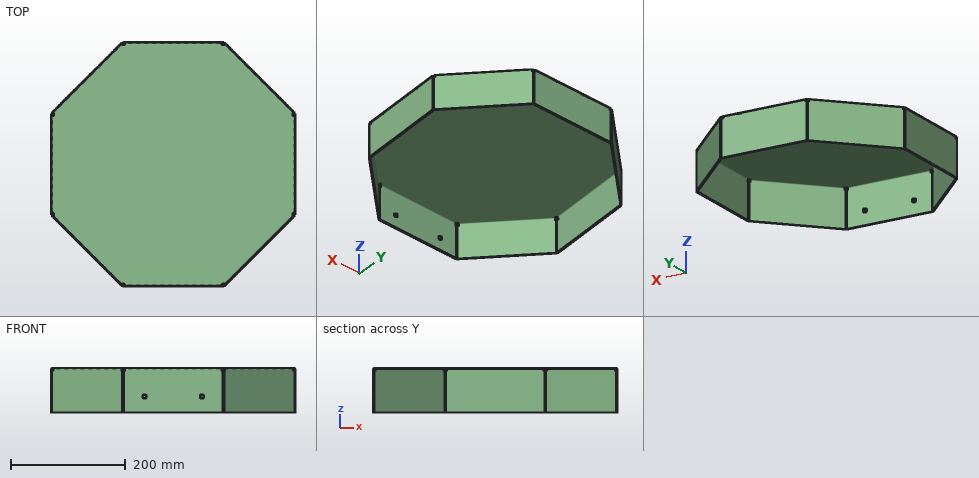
import cadquery as cq
import math

width_across_flats = 426.0
height = 78.0
sheet = 2.0
outer_bend_radius = 4.0
side_count = 8

flange_setback = 1.5
relief_radius = 3.0
relief_inset = 1.5
relief_depth = 4.3

hole_diameter = 7.0
hole_spacing = 100.0
hole_depth_below_top = 50.0

half_width = width_across_flats / 2
half_corner_angle = math.pi / side_count
half_side = half_width * math.tan(half_corner_angle)
inner_bend_radius = outer_bend_radius - sheet
bend_line = half_width - outer_bend_radius
corner_radius = half_width / math.cos(half_corner_angle)
bend_corner_radius = bend_line / math.cos(half_corner_angle)
side_angle = 360 / side_count


def make_plate():
    """Flat octagonal top, reaching out to the bend lines."""
    return (
        cq.Workplane("XY")
        .workplane(offset=height - sheet)
        .transformed(rotate=(0, 0, side_angle / 2))
        .polygon(side_count, 2 * bend_corner_radius)
        .extrude(sheet)
    )


def make_flange():
    """Wall on the +X side with the quarter-round bend that joins it to the plate."""
    length = 2 * (half_side - flange_setback)
    bend_bottom = height - outer_bend_radius
    mid = math.sqrt(0.5)
    return (
        cq.Workplane("XZ")
        .moveTo(half_width, 0)
        .lineTo(half_width, bend_bottom)
        .threePointArc(
            (bend_line + outer_bend_radius * mid, bend_bottom + outer_bend_radius * mid),
            (bend_line, height),
        )
        .lineTo(bend_line, height - sheet)
        .threePointArc(
            (bend_line + inner_bend_radius * mid, bend_bottom + inner_bend_radius * mid),
            (half_width - sheet, bend_bottom),
        )
        .lineTo(half_width - sheet, 0)
        .close()
        .extrude(length / 2, both=True)
    )


def make_corner_reliefs():
    """Round cutters through the plate and bends, one at each octagon corner."""
    return (
        cq.Workplane("XY")
        .workplane(offset=height - relief_depth)
        .polarArray(corner_radius - relief_inset, side_angle / 2, 360, side_count)
        .circle(relief_radius)
        .extrude(relief_depth)
    )


def make_screw_holes():
    """Cutters for the pair of holes through the -Y wall."""
    return (
        cq.Workplane("XZ", origin=(0, -bend_line, height - hole_depth_below_top))
        .pushPoints([(-hole_spacing / 2, 0), (hole_spacing / 2, 0)])
        .circle(hole_diameter / 2)
        .extrude(outer_bend_radius)
    )


result = make_plate()
flange = make_flange()
for side in range(side_count):
    result = result.union(flange.rotate((0, 0, 0), (0, 0, 1), side * side_angle))
result = result.cut(make_corner_reliefs()).cut(make_screw_holes())